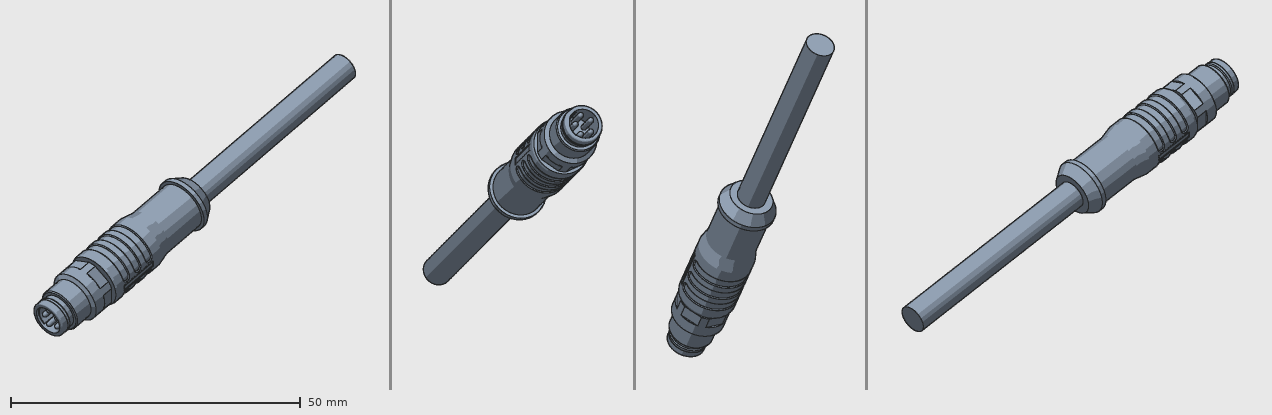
import cadquery as cq
import math

TOTAL_LENGTH = 78.2
TIP_Y = -TOTAL_LENGTH / 2

CABLE_D = 5.1
NECK_D = 6.5
TIP_D = 6.8
RIDGE_D = 6.9
SLEEVE_D = 8.0
BODY_D = 9.1
NUT_D = 9.6
GRIP_D = 10.3
CONE_END_D = 7.8

RIDGE_START = 1.3
RIDGE_END = 1.8
RIDGE_CONE_END = 2.0
SLEEVE_START = 2.95
NUT_CONE_START = 6.7
NUT_START = 7.15
FLATS_START = 9.4
NUT_END = 11.6
GRIP_START = 12.1
GRIP_END = 24.1
BODY_START = 26.7
COLLAR_START = 35.2
COLLAR_END = 36.1
CONE_END = 38.2

TIP_FILLET = 0.25
SLEEVE_CHAMFER = 0.2
GRIP_CHAMFER = 0.15
GRIP_CHAMFER_LENGTH = 0.5

FLAT_COUNT = 6
FLAT_WIDTH = 3.5

RECESS_DEPTH = 0.2
GROOVE_COUNT = 3
GROOVE_WIDTH = 1.7
GROOVE_PITCH = 2.95
GROOVE_FIRST = 15.1
GROOVE_END_Z = 1.1
GROOVE_FLOOR_CHAMFER = 0.18
BAR_HEIGHT = 1.2

SOCKET_D = 5.3
SOCKET_DEPTH = 4.5
KEY_INNER_D = 4.9
KEY_HALF_ANGLE = 60
KEY_RECESS = 0.5
PIN_D = 1.0
PIN_RECESS = 0.25
PIN_POSITIONS = [(-1.3, 0), (-0.35, 1.75), (-0.35, -1.75), (1.5, 1.05), (1.5, -1.05)]


def rod(diameter, start, end):
    """Cylinder on the part axis between two stations."""
    plane = cq.Workplane("XZ", origin=(0, TIP_Y + start, 0))
    return plane.circle(diameter / 2).extrude(start - end)


def turned_body():
    """Plug and cable as one turned profile."""
    steps = [
        (TIP_D, 0),
        (TIP_D, RIDGE_START),
        (RIDGE_D, RIDGE_START),
        (RIDGE_D, RIDGE_END),
        (NECK_D, RIDGE_CONE_END),
        (NECK_D, SLEEVE_START),
        (SLEEVE_D - 2 * SLEEVE_CHAMFER, SLEEVE_START),
        (SLEEVE_D, SLEEVE_START + SLEEVE_CHAMFER),
        (SLEEVE_D, NUT_CONE_START),
        (NUT_D, NUT_START),
        (NUT_D, NUT_END),
        (NECK_D, NUT_END),
        (NECK_D, GRIP_START),
        (GRIP_D - 2 * GRIP_CHAMFER, GRIP_START),
        (GRIP_D, GRIP_START + GRIP_CHAMFER_LENGTH),
        (GRIP_D, GRIP_END),
        (BODY_D, BODY_START),
        (BODY_D, COLLAR_START),
        (GRIP_D, COLLAR_START),
        (GRIP_D, COLLAR_END),
        (CONE_END_D, CONE_END),
        (CABLE_D, CONE_END),
        (CABLE_D, TOTAL_LENGTH),
    ]
    profile = [(diameter / 2, TIP_Y + station) for diameter, station in steps]
    outline = [(0, TIP_Y)] + profile + [(0, TIP_Y + TOTAL_LENGTH)]
    body = cq.Workplane("XY").polyline(outline).close().revolve(360, (0, 0), (0, 1))
    return body.faces("<Y").edges().fillet(TIP_FILLET)


def nut_flats():
    """Cutters for the flats on the rear of the nut."""
    flat_distance = math.sqrt((NUT_D / 2) ** 2 - (FLAT_WIDTH / 2) ** 2)
    length = NUT_END - FLATS_START
    middle = TIP_Y + (FLATS_START + NUT_END) / 2
    cutters = cq.Workplane("XY")
    for i in range(FLAT_COUNT):
        cutter = cq.Workplane("XY").box(NUT_D, length, NUT_D)
        cutter = cutter.translate((flat_distance + NUT_D / 2, middle, 0))
        cutters = cutters.add(cutter.rotate((0, 0, 0), (0, 1, 0), i * 360 / FLAT_COUNT))
    return cutters.combine()


def grip_floor():
    """Cylinder left standing below the grip recesses."""
    return rod(GRIP_D - 2 * RECESS_DEPTH, GRIP_START, GRIP_END)


def grip_groove(station, side):
    """Cutter for one groove over the +Z or -Z half: round ends, bevelled floor edges."""
    end_radius = GROOVE_WIDTH / 2
    straight_start = GROOVE_END_Z + end_radius
    straight_length = GRIP_D / 2 - GROOVE_END_Z
    y = TIP_Y + station
    straight = cq.Workplane("XY").box(2 * GRIP_D, GROOVE_WIDTH, straight_length)
    straight = straight.translate((0, y, side * (straight_start + straight_length / 2)))
    round_end = cq.Workplane("YZ").center(y, side * straight_start)
    round_end = round_end.circle(end_radius).extrude(GRIP_D, both=True)
    cutter = straight.union(round_end).cut(grip_floor())
    outward = ">Z" if side > 0 else "<Z"
    floor = cutter.faces("%CYLINDER").faces(outward)
    return floor.edges().chamfer(GROOVE_FLOOR_CHAMFER)


def grip_bars():
    """Cutter for the straight bar recess along each flank of the grip."""
    groove_span = (GROOVE_COUNT - 1) * GROOVE_PITCH
    bars = cq.Workplane("XY").box(2 * GRIP_D, groove_span + GROOVE_WIDTH, BAR_HEIGHT)
    bars = bars.translate((0, TIP_Y + GROOVE_FIRST + groove_span / 2, 0))
    return bars.cut(grip_floor())


def key():
    """Curved rib on the -X wall of the socket."""
    ring = rod(SOCKET_D, KEY_RECESS, SOCKET_DEPTH)
    ring = ring.cut(rod(KEY_INNER_D, KEY_RECESS, SOCKET_DEPTH))
    reach_z = SOCKET_D * math.tan(math.radians(KEY_HALF_ANGLE))
    wedge = cq.Workplane("XZ", origin=(0, TIP_Y, 0))
    wedge = wedge.polyline([(0, 0), (-SOCKET_D, reach_z), (-SOCKET_D, -reach_z)]).close()
    return ring.intersect(wedge.extrude(-SOCKET_DEPTH))


def pins():
    """Contact pins with hemispherical tips standing on the socket floor."""
    round_start = PIN_RECESS + PIN_D / 2
    pin = rod(PIN_D, round_start, SOCKET_DEPTH)
    tip = cq.Workplane("XY").sphere(PIN_D / 2)
    pin = pin.union(tip.translate((0, TIP_Y + round_start, 0)))
    group = cq.Workplane("XY")
    for x, z in PIN_POSITIONS:
        group = group.add(pin.translate((x, 0, z)))
    return group.combine()


result = turned_body()
result = result.cut(nut_flats())
for groove_index in range(GROOVE_COUNT):
    for half in (1, -1):
        result = result.cut(grip_groove(GROOVE_FIRST + groove_index * GROOVE_PITCH, half))
result = result.cut(grip_bars())
result = result.cut(rod(SOCKET_D, 0, SOCKET_DEPTH))
result = result.union(key())
result = result.union(pins()).solids()